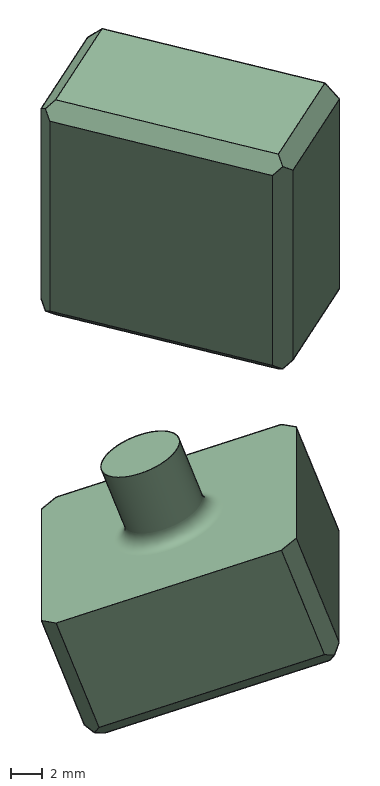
import cadquery as cq

block_side = 17.2
block_depth = 8.95
bevel = 1.0
overall_depth = 14.25
stem_diameter = 5.31
stem_root_radius = 1.0

stem_radius = stem_diameter / 2
half_side = block_side / 2


def side_profile(plane):
    """Bar with the block's depth outline, its two front corners bevelled.

    The plane's local x runs across the block and its local y runs along +Y.
    """
    return (
        cq.Workplane(plane)
        .moveTo(-half_side + bevel, 0)
        .lineTo(half_side - bevel, 0)
        .lineTo(half_side, bevel)
        .lineTo(half_side, block_depth)
        .lineTo(-half_side, block_depth)
        .lineTo(-half_side, bevel)
        .close()
        .extrude(half_side, both=True)
    )


def make_block():
    """Block whose bevels meet in sharp mitres at the front corners."""
    bevelled_square = (
        cq.Workplane("XZ")
        .rect(block_side, block_side)
        .extrude(-block_depth)
        .edges("|Y")
        .chamfer(bevel)
    )
    return bevelled_square.intersect(side_profile("XY")).intersect(side_profile("ZY"))


def make_stem():
    """Stem revolved about the Y axis, with a concave fillet at its root."""
    root_outer_radius = stem_radius + stem_root_radius
    fillet_end = block_depth + stem_root_radius
    return (
        cq.Workplane("XY")
        .moveTo(0, block_depth)
        .lineTo(root_outer_radius, block_depth)
        .radiusArc((stem_radius, fillet_end), stem_root_radius)
        .lineTo(stem_radius, overall_depth)
        .lineTo(0, overall_depth)
        .close()
        .revolve(360, (0, 0, 0), (0, 1, 0))
    )


result = make_block().union(make_stem())